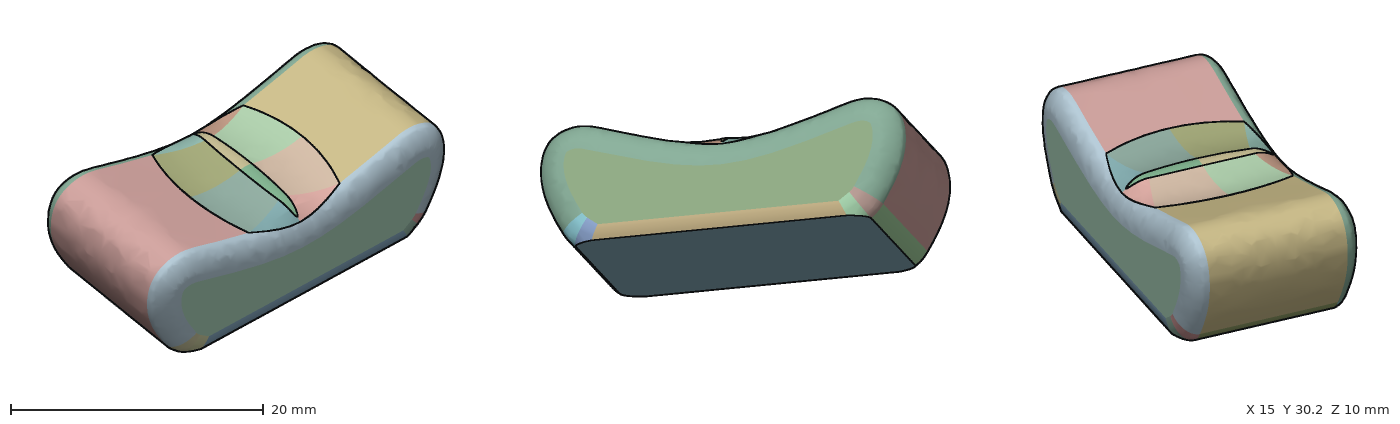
import cadquery as cq
import math

width = 15.0
half_length = 15.07
height = 10.01

trough_height = 7.50
flank_point = (6.64, 8.68)
shoulder_point = (9.4, 9.5)
crest_point = (11.9, height)
corner_point = (14.25, 9.01)
widest_point = (half_length, 6.65)
lower_point = (14.25, 3.05)
base_top_point = (13.2, 1.1)
base_lean = 59.0
base_half_length = 12.2
foot_extension = 4.0

rounding_across = 1.5
rounding_inward = 2.3

base_round_height = 1.2
base_round_inset = 0.27
trim_overshoot = 1.0

scoop_center = 3.15
scoop_bow = 0.016
scoop_radius = 9.5
scoop_bottom = 8.04
crown_radius = 140.0
roll_start = 4.45
roll_rate = 0.19
ridge_half_width = 0.6
ridge_half_length = 6.4
ridge_margin = 0.15
pad_corner = (width / 2 - rounding_across, 4.66)
roll_slant = (pad_corner[0] - roll_start) / pad_corner[1]
pad_half_width = 6.75
pad_half_length = 5.75
pad_floor = 5.5
patch_margin = 0.3
surface_tolerance = 0.001
grid_steps = 28


def side_outline():
    """Closed side outline in the YZ plane, mirrored about Y = 0."""
    right = [flank_point, shoulder_point, crest_point, corner_point, widest_point, lower_point, base_top_point]
    left = [(-y, z) for y, z in reversed(right)]
    points = [cq.Vector(0, y, z) for y, z in left + [(0, trough_height)] + right]
    lean_y = math.cos(math.radians(base_lean))
    lean_z = math.sin(math.radians(base_lean))
    left_rise = cq.Vector(0, -lean_y, lean_z)
    right_fall = cq.Vector(0, -lean_y, -lean_z)
    shell = cq.Edge.makeSpline(points, tangents=[left_rise, right_fall], scale=False)
    right_foot = cq.Vector(0, base_half_length, 0)
    right_arc = cq.Edge.makeTangentArc(points[-1], right_fall, right_foot)
    right_end = right_foot + right_arc.tangentAt(1) * foot_extension
    right_edges = [right_arc, cq.Edge.makeLine(right_foot, right_end)]
    left_edges = [edge.mirror("XZ") for edge in right_edges]
    left_end = cq.Vector(0, -right_end.y, right_end.z)
    return cq.Wire.assembleEdges([shell] + right_edges + [cq.Edge.makeLine(right_end, left_end)] + left_edges[::-1])


def rounded_body():
    """Outline block with elliptical roundings: round fillets on a wide block, then squeezed along X."""
    squeeze = rounding_across / rounding_inward
    wide_width = width / squeeze
    block = cq.Solid.extrudeLinear(side_outline(), [], cq.Vector(wide_width, 0, 0))
    wide = cq.Workplane(block).translate((-wide_width / 2, 0, 0))
    rounded = wide.faces("<X or >X").edges("not |Y").fillet(rounding_inward)
    squeeze_matrix = cq.Matrix([[squeeze, 0, 0, 0], [0, 1, 0, 0], [0, 0, 1, 0]])
    return cq.Workplane(rounded.val().transformGeometry(squeeze_matrix))


def base_envelope():
    """Front outline whose lower corners are arcs tangent to the side faces."""
    half = width / 2
    radius = (base_round_height**2 + base_round_inset**2) / (2 * base_round_inset)
    return (
        cq.Workplane("XZ")
        .moveTo(-half + base_round_inset, 0)
        .lineTo(half - base_round_inset, 0)
        .radiusArc((half, base_round_height), -radius)
        .lineTo(half, height + trim_overshoot)
        .lineTo(-half, height + trim_overshoot)
        .lineTo(-half, base_round_height)
        .radiusArc((-half + base_round_inset, 0), -radius)
        .close()
        .extrude(half_length + trim_overshoot, both=True)
    )


def evenly_spaced(start, end):
    """Sample positions from start to end for a surface grid."""
    return [start + (end - start) * i / grid_steps for i in range(grid_steps + 1)]


def pad_height(x, y):
    """Height of the scooped surface in the quarter where X and Y are positive."""
    center = scoop_center - scoop_bow * x**2
    scoop = scoop_bottom + scoop_radius - math.sqrt(scoop_radius**2 - (y - center) ** 2)
    crown = crown_radius - math.sqrt(crown_radius**2 - x**2)
    roll = roll_rate * max(0, x - roll_start - roll_slant * y) ** 2
    return scoop - crown - roll


def column_under(points):
    """Solid column below a smooth surface through a grid of points."""
    top = cq.Face.makeSplineApprox(points, tol=surface_tolerance)
    return cq.Workplane(cq.Solid.extrudeLinear(top, cq.Vector(0, 0, -height / 2)))


def scooped_block():
    """One quarter of the scoops, mirrored about X = 0 and Y = 0, meeting in a crease along Y = 0."""
    x_values = evenly_spaced(0, pad_half_width + patch_margin)
    y_values = evenly_spaced(0, pad_half_length + patch_margin)
    quarter = column_under([[cq.Vector(x, y, pad_height(x, y)) for y in y_values] for x in x_values])
    half = quarter.union(quarter.mirror("YZ"), clean=False)
    return half.union(half.mirror("XZ"), clean=False)


def ridge_point(x, across):
    """Point on the rounded ridge, with across = -1 and 1 on its two borders."""
    border = ridge_half_width * math.sqrt(1 - (x / (ridge_half_length + ridge_margin)) ** 2)
    slope = (pad_height(x, 0) - pad_height(x, border)) / border
    rise = slope * border * (1 - across**2) / 2
    return cq.Vector(x, across * border, pad_height(x, border) + rise)


def ridge_block():
    """Column below the rounded ridge surface, mirrored about X = 0."""
    x_values = evenly_spaced(0, ridge_half_length + ridge_margin / 2)
    across_values = evenly_spaced(-1 - ridge_margin, 1 + ridge_margin)
    half = column_under([[ridge_point(x, across) for across in across_values] for x in x_values])
    return half.union(half.mirror("YZ"), clean=False)


def pad_column():
    """Column over the four-arc plan outline of the pad."""
    x, y = pad_corner
    return (
        cq.Workplane("XY", origin=(0, 0, pad_floor))
        .moveTo(-x, y)
        .threePointArc((0, pad_half_length), (x, y))
        .threePointArc((pad_half_width, 0), (x, -y))
        .threePointArc((0, -pad_half_length), (-x, -y))
        .threePointArc((-pad_half_width, 0), (-x, y))
        .close()
        .extrude(height - pad_floor)
    )


def middle_column():
    """Column over the middle of the pad, between the lines where its ends start to roll down."""
    x, y = pad_corner
    reach = pad_half_length + patch_margin
    right = [(x, reach), (x, y), (roll_start, 0), (x, -y), (x, -reach)]
    left = [(-px, py) for px, py in reversed(right)]
    return cq.Workplane("XY", origin=(0, 0, pad_floor)).polyline(right + left).close().extrude(height - pad_floor)


def pad():
    """Scoops with rolled ends, and the rounded ridge in place of the crease between them."""
    ridge_column = (
        cq.Workplane("XY", origin=(0, 0, pad_floor))
        .ellipse(ridge_half_length, ridge_half_width)
        .extrude(height - pad_floor)
    )
    scoops = scooped_block().intersect(pad_column(), clean=False).cut(ridge_column, clean=False)
    middle = scoops.intersect(middle_column(), clean=False)
    ends = scoops.cut(middle_column(), clean=False)
    ridge = ridge_block().intersect(ridge_column, clean=False)
    return middle.union(ends, clean=False).union(ridge, clean=False)


body = rounded_body().intersect(base_envelope())
result = body.cut(pad_column()).union(pad(), clean=False).solids()